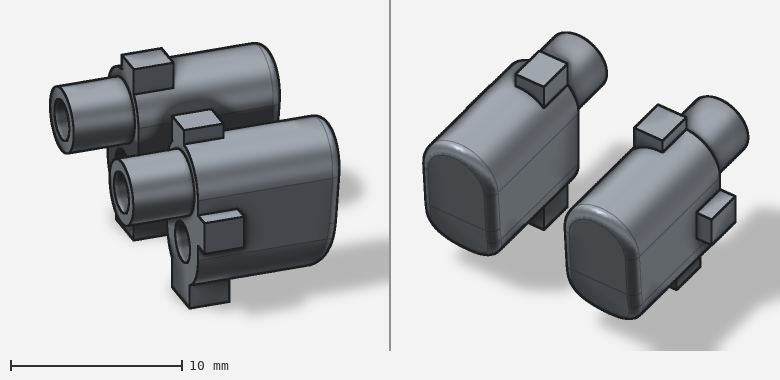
import cadquery as cq
import math


plug_spacing = 9.98

body_radius = 2.58
bore_spacing = 3.91
body_length = 9.18
back_slope = 4.0
back_bend_drop = 3.0
back_bend_radius = 7.0
back_fillet = 0.6

nozzle_diameter = 3.98
nozzle_length = 3.81
bore_diameter = 2.5
bore_depth = 3.81

tab_depth = 2.48
tab_width = 2.01
tab_inner_offset = 1.8
bottom_tab_width = 3.0
top_tab_rise = 0.92
bottom_tab_drop = 1.21
side_tab_reach = 1.09

body_top = body_radius
body_bottom = -bore_spacing - body_radius
body_mid = -bore_spacing / 2


def side_profile():
    """Body outline in the YZ plane: flat front, sloped back, arc down to the underside."""
    slope = math.radians(back_slope)
    bend_y = body_length - (body_top + back_bend_drop) * math.tan(slope)
    centre_y = bend_y - back_bend_radius * math.cos(slope)
    centre_z = -back_bend_drop + back_bend_radius * math.sin(slope)

    end_angle = math.asin((centre_z - body_bottom) / back_bend_radius)
    mid_angle = (slope + end_angle) / 2

    def bend_point(angle):
        return (
            centre_y + back_bend_radius * math.cos(angle),
            centre_z - back_bend_radius * math.sin(angle),
        )

    return (
        cq.Workplane("YZ")
        .moveTo(0, body_top)
        .lineTo(body_length, body_top)
        .lineTo(bend_y, -back_bend_drop)
        .threePointArc(bend_point(mid_angle), bend_point(end_angle))
        .lineTo(0, body_bottom)
        .close()
    )


def rounded_body():
    """Slot section trimmed to the side profile, with the whole back rim rounded."""
    slot = (
        cq.Workplane("XZ", origin=(0, 0, body_mid))
        .slot2D(bore_spacing + 2 * body_radius, 2 * body_radius, angle=90)
        .extrude(-body_length)
    )
    body = slot.intersect(side_profile().extrude(body_radius, both=True))
    behind_tabs = cq.selectors.BoxSelector(
        (-2 * body_radius, tab_depth, 2 * body_bottom),
        (2 * body_radius, 2 * body_length, 2 * body_top),
        boundingbox=False,
    )
    back_rim = body.edges(behind_tabs).edges("not(|X or |Y)")
    return body.newObject(back_rim.vals()).fillet(back_fillet)


def cylinder(diameter, front_y, back_y, axis_z):
    """Round bar along Y on the plug axis."""
    return (
        cq.Workplane("XZ", origin=(0, front_y, axis_z))
        .circle(diameter / 2)
        .extrude(front_y - back_y)
    )


def tab(x_min, x_max, z_min, z_max):
    """Rectangular key running back from the front face."""
    return cq.Workplane("XY").box(
        x_max - x_min, tab_depth, z_max - z_min, centered=False
    ).translate((x_min, 0, z_min))


def make_plug():
    """Left-hand plug centred on X = 0, side tab towards -X."""
    top_tab = tab(tab_inner_offset - tab_width, tab_inner_offset, 0, body_top + top_tab_rise)
    bottom_tab = tab(
        tab_inner_offset - bottom_tab_width,
        tab_inner_offset,
        body_bottom - bottom_tab_drop,
        -bore_spacing,
    )
    side_tab = tab(
        -body_radius - side_tab_reach,
        0,
        body_mid - tab_width / 2,
        body_mid + tab_width / 2,
    )
    nozzle = cylinder(nozzle_diameter, -nozzle_length, 0, 0)
    upper_bore = cylinder(bore_diameter, -nozzle_length, bore_depth, 0)
    lower_bore = cylinder(bore_diameter, 0, bore_depth, -bore_spacing)

    return (
        rounded_body()
        .union(top_tab)
        .union(bottom_tab)
        .union(side_tab)
        .union(nozzle)
        .cut(upper_bore)
        .cut(lower_bore)
    )


left_plug = make_plug().translate((-plug_spacing / 2, 0, 0))
right_plug = left_plug.mirror("YZ")

result = cq.Compound.makeCompound([left_plug.solids().val(), right_plug.solids().val()])